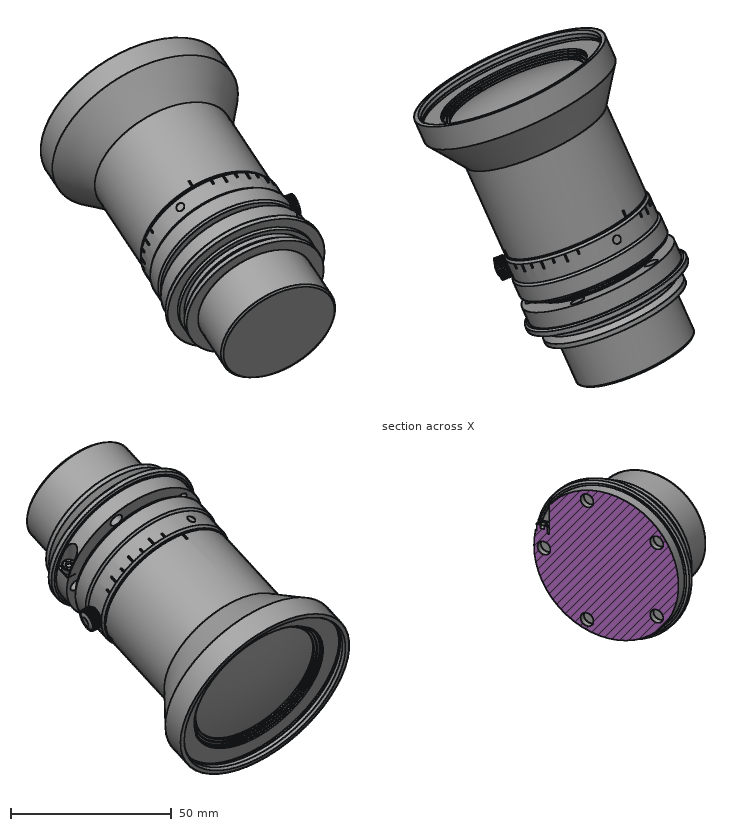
import cadquery as cq
import math

LENGTH = 99.1

HOOD_RADIUS = 32.5
HOOD_RIM_END = 8.0
HOOD_CONE_END = 20.3
TUBE_RADIUS = 24.0
TUBE_END = 51.5

MOUTH_RADIUS = 31.0
MOUTH_BEVEL_DEPTH = 1.1
RECESS_RADIUS = 30.6
RECESS_GROOVE_RADIUS = 30.8
RECESS_GROOVE_START = 2.5
RECESS_DEPTH = 3.3
RETAINER_RADII = [24.8, 24.4, 23.6, 22.8]
LENS_RADIUS = 22.5
LENS_EDGE_DEPTH = 5.9
LENS_APEX_DEPTH = 3.1

SEAM_WIDTH = 0.4
SEAM_RADIUS = TUBE_RADIUS - 0.3

APERTURE_RADIUS = 24.6
APERTURE_START = TUBE_END + SEAM_WIDTH
APERTURE_CHAMFER_LENGTH = 0.9
APERTURE_END = 59.6

GRIP_RADIUS = 25.2
GRIP_END = 66.5
GRIP_CHAMFER_LENGTH = 0.8
GRIP_CHAMFER_HEIGHT = 0.5

NECK_RADIUS = 19.4
NECK_COLLAR_RADIUS = 20.0
NECK_CONE_START = 67.9
NECK_COLLAR_START = 68.4
NECK_COLLAR_END = 68.7
NECK_REAR_RADIUS = 19.7

CLAMP_RADIUS = 26.0
CLAMP_START = 69.2
CLAMP_END = 74.7

FLANGE_RADIUS = 27.4
FLANGE_BEVEL_RADIUS = 26.7
FLANGE_START = 75.2
FLANGE_END = 76.8

MOUNT_RADIUS = 24.0
MOUNT_SHOULDER_END = 78.0
DOVETAIL_ROOT_RADIUS = 22.3
DOVETAIL_ROOT_END = 79.7
DOVETAIL_CONE_END = 81.4
DOVETAIL_END = 82.9

BARREL_RADIUS = 20.0
BARREL_CHAMFER = 0.6

LOCK_COUNT = 3
LOCK_SPACING = 360 / LOCK_COUNT
LOCK_X = 55.8
LOCK_HOLE_DIAMETER = 2.8
LOCK_HOLE_DEPTH = 0.1
MARK_WIDTH = 0.4
MARK_DEPTH = 0.2
SCALE_START_ANGLE = 30
SCALE_STEP_ANGLE = 10
SCALE_MARKS = 7
SCALE_START = 53.1
LONG_MARK = 2.4
SHORT_MARK = 1.4
INDEX_ANGLE = 104
INDEX_LENGTH = 2.4

KNOB_RADIUS = 3.7
KNOB_CHAMFER = 0.5
KNOB_BASE = 24.7
KNOB_SHOULDER = 27.9
KNOB_TOP = 28.5
KNOB_TOP_RADIUS = 1.6
KNOB_STEM_LENGTH = 1.0
KNOB_GROOVE_Y = 26.3
KNOB_GROOVE_DEPTH = 0.2
KNURL_COUNT = 24
KNURL_RADIUS = 0.3

CLAMP_SCREW_X = 72.0
CLAMP_SCREW_Y = 23.0
POCKET_WIDTH = 5.2
POCKET_FLOOR_Z = 5.5
SCREW_HEAD_DIAMETER = 4.5
SCREW_HEAD_HEIGHT = 2.5
SCREW_HEAD_CHAMFER = 0.3
SCREW_SOCKET_DIAMETER = 2.5
SCREW_SOCKET_DEPTH = 1.2

FACE_HOLE_COUNT = 5
FACE_HOLE_DIAMETER = 4.5
FACE_HOLE_CIRCLE_RADIUS = 22.3
FACE_HOLE_DEPTH = 4.0


def retainer_steps():
    """Points of the equal steps climbing from the lens edge to the recess floor."""
    rise = (LENS_EDGE_DEPTH - RECESS_DEPTH) / len(RETAINER_RADII)
    points = []
    for i, radius in enumerate(reversed(RETAINER_RADII)):
        points.append((LENS_EDGE_DEPTH - i * rise, radius))
        points.append((LENS_EDGE_DEPTH - (i + 1) * rise, radius))
    return points


def turned_body():
    """Revolve the half section; profile points are (x, radius)."""
    lens_sag = LENS_EDGE_DEPTH - LENS_APEX_DEPTH
    lens_sphere = (LENS_RADIUS**2 + lens_sag**2) / (2 * lens_sag)
    lens_mid_radius = LENS_RADIUS / 2
    lens_mid_x = LENS_APEX_DEPTH + lens_sphere - math.sqrt(lens_sphere**2 - lens_mid_radius**2)
    front = retainer_steps() + [
        (RECESS_DEPTH, RECESS_GROOVE_RADIUS),
        (RECESS_GROOVE_START, RECESS_GROOVE_RADIUS),
        (RECESS_GROOVE_START, RECESS_RADIUS),
        (MOUTH_BEVEL_DEPTH, RECESS_RADIUS),
        (0, MOUTH_RADIUS),
        (0, HOOD_RADIUS),
        (HOOD_RIM_END, HOOD_RADIUS),
        (HOOD_CONE_END, TUBE_RADIUS),
        (TUBE_END, TUBE_RADIUS),
    ]
    rings = [
        (TUBE_END, SEAM_RADIUS),
        (APERTURE_START, SEAM_RADIUS),
        (APERTURE_START, TUBE_RADIUS),
        (APERTURE_START + APERTURE_CHAMFER_LENGTH, APERTURE_RADIUS),
        (APERTURE_END, APERTURE_RADIUS),
        (APERTURE_END + GRIP_CHAMFER_LENGTH, GRIP_RADIUS),
        (GRIP_END - GRIP_CHAMFER_LENGTH, GRIP_RADIUS),
        (GRIP_END, GRIP_RADIUS - GRIP_CHAMFER_HEIGHT),
        (GRIP_END, NECK_RADIUS),
        (NECK_CONE_START, NECK_RADIUS),
        (NECK_COLLAR_START, NECK_COLLAR_RADIUS),
        (NECK_COLLAR_END, NECK_COLLAR_RADIUS),
        (CLAMP_START, NECK_REAR_RADIUS),
        (CLAMP_START, CLAMP_RADIUS),
        (CLAMP_END, CLAMP_RADIUS),
    ]
    rear = [
        (CLAMP_END, FLANGE_BEVEL_RADIUS),
        (FLANGE_START, FLANGE_RADIUS),
        (FLANGE_END, FLANGE_RADIUS),
        (FLANGE_END, MOUNT_RADIUS),
        (MOUNT_SHOULDER_END, MOUNT_RADIUS),
        (MOUNT_SHOULDER_END, DOVETAIL_ROOT_RADIUS),
        (DOVETAIL_ROOT_END, DOVETAIL_ROOT_RADIUS),
        (DOVETAIL_CONE_END, MOUNT_RADIUS),
        (DOVETAIL_END, MOUNT_RADIUS),
        (DOVETAIL_END, BARREL_RADIUS),
        (LENGTH - BARREL_CHAMFER, BARREL_RADIUS),
        (LENGTH, BARREL_RADIUS - BARREL_CHAMFER),
        (LENGTH, 0),
    ]
    profile = (
        cq.Workplane("XY")
        .moveTo(LENS_APEX_DEPTH, 0)
        .threePointArc((lens_mid_x, lens_mid_radius), (LENS_EDGE_DEPTH, LENS_RADIUS))
    )
    for point in front + rings + rear:
        profile = profile.lineTo(*point)
    return profile.close().revolve(360, (0, 0, 0), (1, 0, 0))


def turn_about_axis(shape, angle):
    """Turn a shape modelled at +Y by an angle toward +Z."""
    return shape.rotate((0, 0, 0), (1, 0, 0), angle)


def engraved_mark(start_x, length, radius, angle):
    """Cutter for an axial line engraved in a cylinder of the given radius."""
    mark = (
        cq.Workplane("XY")
        .box(length, 2 * MARK_DEPTH, MARK_WIDTH, centered=(False, True, True))
        .translate((start_x, radius, 0))
    )
    return turn_about_axis(mark, angle)


def aperture_scales():
    """Cutters for the three scales and the index line beside each of them."""
    cutters = []
    for lock in range(LOCK_COUNT):
        sector = lock * LOCK_SPACING
        for i in range(SCALE_MARKS):
            length = LONG_MARK if i % 2 else SHORT_MARK
            angle = sector + SCALE_START_ANGLE + i * SCALE_STEP_ANGLE
            cutters.append(engraved_mark(SCALE_START, length, APERTURE_RADIUS, angle))
        index_start = TUBE_END - INDEX_LENGTH
        cutters.append(engraved_mark(index_start, INDEX_LENGTH, TUBE_RADIUS, sector + INDEX_ANGLE))
    return cutters


def lock_holes():
    """Cutters for the lock positions not taken by the thumb screw."""
    hole = (
        cq.Workplane("XZ", origin=(LOCK_X, APERTURE_RADIUS, 0))
        .circle(LOCK_HOLE_DIAMETER / 2)
        .extrude(LOCK_HOLE_DEPTH)
    )
    return [turn_about_axis(hole, lock * LOCK_SPACING) for lock in range(1, LOCK_COUNT)]


def thumb_screw():
    """Knob standing on the aperture ring at +Y, with a knurled, waisted rim and a domed top."""
    collar_radius = KNOB_RADIUS - KNOB_CHAMFER
    groove_radius = KNOB_RADIUS - KNOB_GROOVE_DEPTH
    rim = [
        (0, KNOB_BASE),
        (collar_radius, KNOB_BASE),
        (KNOB_RADIUS, KNOB_BASE + KNOB_CHAMFER),
        (KNOB_RADIUS, KNOB_GROOVE_Y - KNOB_GROOVE_DEPTH),
        (groove_radius, KNOB_GROOVE_Y),
        (KNOB_RADIUS, KNOB_GROOVE_Y + KNOB_GROOVE_DEPTH),
        (KNOB_RADIUS, KNOB_SHOULDER),
        (0, KNOB_SHOULDER),
    ]
    core = [
        (0, KNOB_BASE - KNOB_STEM_LENGTH),
        (collar_radius, KNOB_BASE - KNOB_STEM_LENGTH),
        (collar_radius, KNOB_SHOULDER),
        (KNOB_TOP_RADIUS, KNOB_TOP),
        (0, KNOB_TOP),
    ]
    knurls = (
        cq.Workplane("XZ", origin=(0, KNOB_BASE, 0))
        .polarArray(KNOB_RADIUS, 0, 360, KNURL_COUNT)
        .circle(KNURL_RADIUS)
        .extrude(KNOB_BASE - KNOB_TOP)
    )
    turned_rim = cq.Workplane("XY").polyline(rim).close().revolve(360, (0, 0, 0), (0, 1, 0))
    turned_core = cq.Workplane("XY").polyline(core).close().revolve(360, (0, 0, 0), (0, 1, 0))
    return turned_rim.cut(knurls).union(turned_core).translate((LOCK_X, 0, 0))


def clamp_pocket():
    """Round-ended cutter reaching from the screw axis out past the clamp ring."""
    floor = cq.Workplane("XY", origin=(CLAMP_SCREW_X, CLAMP_SCREW_Y, POCKET_FLOOR_Z))
    round_end = floor.circle(POCKET_WIDTH / 2).extrude(CLAMP_RADIUS)
    opening = floor.box(POCKET_WIDTH, CLAMP_RADIUS, CLAMP_RADIUS, centered=(True, False, False))
    return round_end.union(opening)


def clamp_screw():
    """Socket head resting on the pocket floor."""
    return (
        cq.Workplane("XY", origin=(CLAMP_SCREW_X, CLAMP_SCREW_Y, POCKET_FLOOR_Z))
        .circle(SCREW_HEAD_DIAMETER / 2)
        .extrude(SCREW_HEAD_HEIGHT)
        .faces(">Z")
        .chamfer(SCREW_HEAD_CHAMFER)
        .faces(">Z")
        .workplane()
        .polygon(6, SCREW_SOCKET_DIAMETER)
        .cutBlind(-SCREW_SOCKET_DEPTH)
    )


def face_holes():
    """Cutter for the ring of equally spaced blind holes, the first of them at +Y."""
    return (
        cq.Workplane("YZ", origin=(CLAMP_START, 0, 0))
        .polarArray(FACE_HOLE_CIRCLE_RADIUS, 0, 360, FACE_HOLE_COUNT)
        .circle(FACE_HOLE_DIAMETER / 2)
        .extrude(FACE_HOLE_DEPTH)
    )


result = turned_body()
for cutter in aperture_scales() + lock_holes():
    result = result.cut(cutter)
result = result.cut(face_holes()).cut(clamp_pocket())
result = result.union(thumb_screw()).union(clamp_screw())